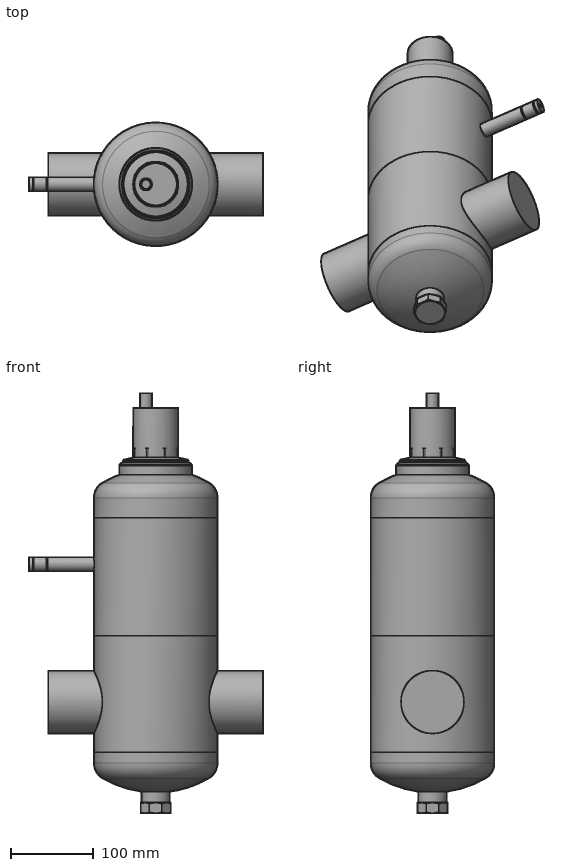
import cadquery as cq
import math


vessel_radius = 150.0 / 2
crown_radius = 126.5
knuckle_radius = 21.5
lower_tangent_z = 61.0
lower_seam_z = 74.0
middle_seam_z = 215.0
upper_seam_z = 357.0
upper_tangent_z = 381.5

nozzle_radius = 38.0
nozzle_reach = 130.0
nozzle_z = 134.5

tube_radius = 8.5
tube_reach = 153.5
tube_z = 301.0
tube_hole_radius = 2.0
tube_hole_depth = 5.0
tube_groove_offsets = [4.5, 21.5]
tube_groove_width = 1.5
tube_groove_depth = 0.5

drain_neck_radius = 17.5
drain_nut_width = 36.5
drain_nut_height = 13.0
drain_nut_face_radius = 18.0
drain_nut_chamfer_height = 1.5

boss_radius = 44.0
boss_edge_z = 420.0
boss_shoulder_radius = 43.5
boss_shoulder_z = 421.5
boss_top_radius = 41.0
boss_top_z = 424.0

flange_radius = 40.0
flange_edge_z = 425.5
flange_rim_radius = 38.5
flange_rim_z = 427.5
barrel_radius = 27.5
barrel_base_z = 430.5
barrel_top_z = 490.0
barrel_recess_radius = 25.5
barrel_recess_depth = 0.5
wrench_width = 52.0
wrench_height = 11.0
stub_radius = 14.5 / 2
stub_offset = 11.5
stub_top_z = 508.0
stub_recess_radius = 5.5
stub_recess_depth = 1.0

octagon_sides = 8
flat_half_angle = 180 / octagon_sides
corner_ratio = 1 / math.cos(math.radians(flat_half_angle))


def cylinder(radius, bottom_z, top_z):
    return cq.Workplane("XY").workplane(offset=bottom_z).circle(radius).extrude(top_z - bottom_z)


def octagon(width, bottom_z, height):
    return (
        cq.Workplane("XY").workplane(offset=bottom_z)
        .transformed(rotate=(0, 0, flat_half_angle))
        .polygon(octagon_sides, width * corner_ratio)
        .extrude(height)
    )


def turned(outline):
    """Revolve a closed (radius, z) outline about the Z axis."""
    return outline.close().revolve(360, (0, 0, 0), (0, 1, 0))


def make_head(seam_z, tangent_z):
    side = math.copysign(1, tangent_z - seam_z)
    knuckle_center_r = vessel_radius - knuckle_radius
    center_distance = crown_radius - knuckle_radius
    blend_angle = math.acos(knuckle_center_r / center_distance)
    crown_center_height = -center_distance * math.sin(blend_angle)

    def on_knuckle(angle):
        radius = knuckle_center_r + knuckle_radius * math.cos(angle)
        height = knuckle_radius * math.sin(angle)
        return radius, tangent_z + side * height

    def on_crown(angle):
        radius = crown_radius * math.cos(angle)
        height = crown_center_height + crown_radius * math.sin(angle)
        return radius, tangent_z + side * height

    apex = (0, tangent_z + side * (crown_center_height + crown_radius))
    outline = (
        cq.Workplane("XZ").moveTo(0, seam_z)
        .lineTo(vessel_radius, seam_z)
        .lineTo(vessel_radius, tangent_z)
        .threePointArc(on_knuckle(blend_angle / 2), on_knuckle(blend_angle))
        .threePointArc(on_crown((blend_angle + math.pi / 2) / 2), apex)
    )
    return turned(outline)


lower_head = make_head(lower_seam_z, lower_tangent_z)
upper_head = make_head(upper_seam_z, upper_tangent_z)

lower_shell = cylinder(vessel_radius, lower_seam_z, middle_seam_z)
upper_shell = cylinder(vessel_radius, middle_seam_z, upper_seam_z)


def make_nozzle(direction):
    pipe = (
        cq.Workplane("YZ").center(0, nozzle_z)
        .circle(nozzle_radius)
        .extrude(direction * nozzle_reach)
    )
    return pipe.cut(lower_shell)


nozzles = [make_nozzle(direction) for direction in (-1, 1)]


def make_side_tube():
    def rod(radius, distance_from_end, length):
        start_x = distance_from_end - tube_reach
        return (
            cq.Workplane("YZ").workplane(offset=start_x).center(0, tube_z)
            .circle(radius)
            .extrude(length)
        )

    tube = rod(tube_radius, 0, tube_reach).cut(upper_shell)
    tube = tube.cut(rod(tube_hole_radius, 0, tube_hole_depth))
    for offset in tube_groove_offsets:
        core = rod(tube_radius - tube_groove_depth, offset, tube_groove_width)
        ring = rod(tube_radius, offset, tube_groove_width).cut(core)
        tube = tube.cut(ring)
    return tube


side_tube = make_side_tube()


def make_drain():
    corner_radius = drain_nut_width / 2 * corner_ratio
    corner_envelope = (
        cylinder(corner_radius, 0, drain_nut_height)
        .faces("<Z or >Z")
        .chamfer(drain_nut_chamfer_height, corner_radius - drain_nut_face_radius)
    )
    nut = octagon(drain_nut_width, 0, drain_nut_height).intersect(corner_envelope)
    neck = cylinder(drain_neck_radius, drain_nut_height, lower_tangent_z).cut(lower_head)
    return nut.union(neck)


drain = make_drain()


def make_boss():
    outline = (
        cq.Workplane("XZ").moveTo(0, upper_tangent_z)
        .lineTo(boss_radius, upper_tangent_z)
        .lineTo(boss_radius, boss_edge_z)
        .lineTo(boss_shoulder_radius, boss_shoulder_z)
        .lineTo(boss_top_radius, boss_top_z)
        .lineTo(0, boss_top_z)
    )
    return turned(outline).cut(upper_head)


boss = make_boss()


def make_flange():
    outline = (
        cq.Workplane("XZ").moveTo(0, boss_top_z)
        .lineTo(flange_radius, boss_top_z)
        .lineTo(flange_radius, flange_edge_z)
        .lineTo(flange_rim_radius, flange_rim_z)
        .lineTo(barrel_radius, barrel_base_z)
        .lineTo(0, barrel_base_z)
    )
    return turned(outline)


def make_stub(base_z):
    recess = cylinder(stub_recess_radius, stub_top_z - stub_recess_depth, stub_top_z)
    return cylinder(stub_radius, base_z, stub_top_z).cut(recess).translate((-stub_offset, 0, 0))


def make_air_vent():
    recess_floor_z = barrel_top_z - barrel_recess_depth
    barrel = cylinder(barrel_radius, barrel_base_z, barrel_top_z)
    barrel = barrel.cut(cylinder(barrel_recess_radius, recess_floor_z, barrel_top_z))
    wrench_corners = octagon(wrench_width, barrel_base_z, wrench_height)
    return make_flange().union(barrel).union(wrench_corners).union(make_stub(recess_floor_z))


air_vent = make_air_vent()

bodies = [
    lower_head,
    lower_shell,
    upper_shell,
    upper_head,
    *nozzles,
    side_tube,
    drain,
    boss,
    air_vent,
]
result = cq.Compound.makeCompound([body.solids().val() for body in bodies])